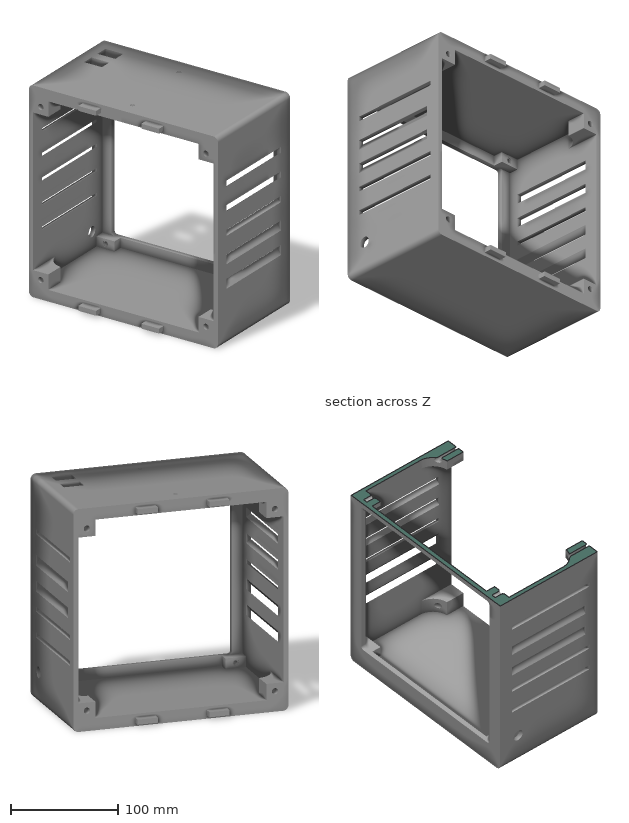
import cadquery as cq
import math

width = 212.0
height = 217.0
depth = 120.0
side_wall = 4.8
top_wall = 12.0
corner_radius = 5.0
inner_half_width = width / 2 - side_wall
inner_half_height = height / 2 - top_wall

frame_width = 10.5
frame_thickness = 5.0
frame_corner_radius = 2.8

tab_length = 7.8
tab_width = 20.0
tab_thickness = 5.0
tab_x = 35.4
tab_z = 102.5

screw_diameter = 6.0
front_block_width = 17.0
front_block_height = 15.8
front_block_depth = 20.2
front_block_hollow = 4.1
rear_block_width = 20.5
rear_block_depth = 10.0
rear_recess_depth = 0.9
rear_pilot_diameter = 4.1
rear_pilot_depth = 10.0

window_width = 20.0
window_left = 15.0
windows = [(15.0, 13.2), (38.2, 12.4)]
pin_diameter = 4.3
pin_depth = 0.5
pin_holes = [(-5.2, depth - 19.7), (0.0, 15.2)]

cable_diameter = 11.0
cable_y = 97.6
cable_z = -78.5

slot_top = 59.0
slot_pitch = 25.2
slot_back = depth - 15.0
slot_front = 14.8
slot_front_wide = 10.0
slot_front_inner = 15.0
tall_opening = (slot_front, 10.2, 0)
sill_opening = (slot_front, 6.3, 0)
slit_opening = (slot_front, 3.0, 0)
corner_opening = (slot_front_wide, 4.8, 0)
left_corner_slot = (corner_opening, slit_opening)
left_louvre = (tall_opening, slit_opening)
left_slots = [left_corner_slot, left_louvre, left_louvre, left_corner_slot, left_corner_slot]
right_flared = (sill_opening, (slot_front_inner, 9.5, 0))
right_flat = (sill_opening, (slot_front_inner, 4.1, 0))
right_louvre = (tall_opening, (slot_front_inner, 4.1, 6.3))
right_slots = [right_flared, right_flared, right_flat, right_louvre, right_louvre]


def make_box(x0, x1, y0, y1, z0, z1):
    """Box between two opposite corners."""
    return cq.Workplane("XY").box(x1 - x0, y1 - y0, z1 - z0, centered=False).translate((x0, y0, z0))


def make_shell():
    """Rounded tube along Y with a rear frame."""
    body = make_box(-width / 2, width / 2, 0, depth, -height / 2, height / 2)
    body = body.edges("|Y").fillet(corner_radius)
    body = body.cut(make_box(
        -inner_half_width, inner_half_width, 0, depth - frame_thickness,
        -inner_half_height, inner_half_height))
    open_x = inner_half_width - frame_width
    open_z = inner_half_height - frame_width
    opening = make_box(-open_x, open_x, 0, depth, -open_z, open_z)
    return body.cut(opening.edges("|Y").fillet(frame_corner_radius))


def make_front_block():
    """Front screw block of the +X, +Z corner; its hollowed back runs out along the side wall."""
    inner_x = inner_half_width - front_block_width
    wall_y = front_block_depth + front_block_width
    shift = front_block_hollow / math.sqrt(2)
    mid_x = inner_x + front_block_width / 2 + shift
    mid_y = front_block_depth + front_block_width / 2 - shift
    block = (
        cq.Workplane("XY")
        .workplane(offset=inner_half_height - front_block_height)
        .moveTo(inner_x, 0)
        .lineTo(inner_x, front_block_depth)
        .threePointArc((mid_x, mid_y), (inner_half_width, wall_y))
        .lineTo(inner_half_width, 0)
        .close()
        .extrude(front_block_height)
    )
    hole = cq.Workplane("XZ").circle(screw_diameter / 2).extrude(-wall_y)
    center_x = inner_half_width - front_block_width / 2
    center_z = inner_half_height - front_block_height / 2
    return block.cut(hole.translate((center_x, 0, center_z)))


def make_rear_block():
    """Rear screw block of the +X, +Z corner, standing on the rear frame."""
    front_y = depth - frame_thickness - rear_block_depth
    return make_box(
        inner_half_width - rear_block_width, inner_half_width, front_y, depth - frame_thickness,
        inner_half_height - frame_width, inner_half_height)


def make_rear_screw_hole():
    """Stepped blind hole in the middle of the rear block: a shallow recess around a pilot hole."""
    front_y = depth - frame_thickness - rear_block_depth
    recess = cq.Workplane("XZ").circle(screw_diameter / 2).extrude(-rear_recess_depth)
    pilot = cq.Workplane("XZ").circle(rear_pilot_diameter / 2).extrude(-rear_pilot_depth)
    center_x = inner_half_width - rear_block_width / 2
    center_z = inner_half_height - frame_width / 2
    return recess.union(pilot).translate((center_x, front_y, center_z))


def on_four_corners(shape):
    """The shape of the +X, +Z corner together with its mirror images."""
    pair = shape.union(shape.mirror("YZ"))
    return pair.union(pair.mirror("XY"))


def make_slot(side, level, outer, inner):
    """Tapered slot through the wall on the given side (-1 left, +1 right)."""
    def outline(x, front, drop, rise):
        low = level - drop
        high = level + rise
        corners = [(front, high), (slot_back, high), (slot_back, low), (front, low)]
        return cq.Wire.makePolygon([cq.Vector(x, y, z) for y, z in corners], close=True)

    wires = [outline(side * width / 2, *outer), outline(side * inner_half_width, *inner)]
    return cq.Workplane(cq.Solid.makeLoft(wires, True))


result = make_shell()
result = result.union(on_four_corners(make_front_block()))
result = result.union(on_four_corners(make_rear_block()))
result = result.cut(on_four_corners(make_rear_screw_hole()))

for x in (-tab_x, tab_x):
    for z in (-tab_z, tab_z):
        result = result.union(make_box(
            x - tab_width / 2, x + tab_width / 2, -tab_length, 0,
            z - tab_thickness / 2, z + tab_thickness / 2))

for side, slots in ((-1, left_slots), (1, right_slots)):
    for row, (outer, inner) in enumerate(slots):
        result = result.cut(make_slot(side, slot_top - row * slot_pitch, outer, inner))

for from_back, length in windows:
    left = -width / 2 + window_left
    back = depth - from_back
    result = result.cut(make_box(
        left, left + window_width, back - length, back, inner_half_height, height / 2))

for x, y in pin_holes:
    pin = cq.Workplane("XY").circle(pin_diameter / 2).extrude(pin_depth)
    result = result.cut(pin.translate((x, y, height / 2 - pin_depth)))

cable_hole = cq.Workplane("YZ").circle(cable_diameter / 2).extrude(side_wall)
result = result.cut(cable_hole.translate((-width / 2, cable_y, cable_z)))